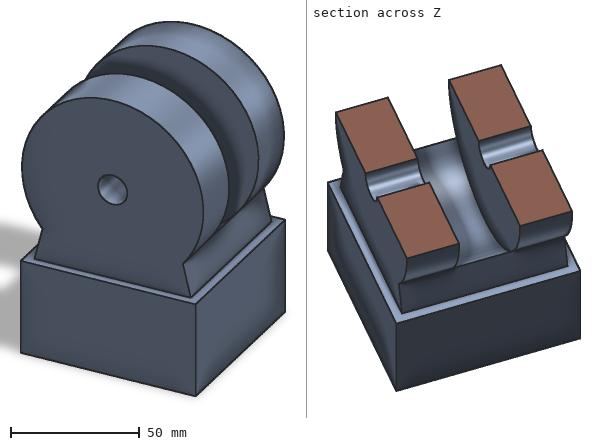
import cadquery as cq
import math

total_height = 119.6
base_side = 76.2
base_height = 40.8

lug_radius = 39.6
lug_axis_z = total_height - lug_radius
lug_outer_span = 68.5
lug_gap = 25.1
hole_diameter = 12.8

neck_bottom_width = 68.2
neck_top_width = 61.3
neck_top_z = lug_axis_z - math.sqrt(lug_radius**2 - (neck_top_width / 2) ** 2)


def cylinder_along_y(radius, length):
    """Cylinder on the lug axis, centred on Y = 0."""
    return (
        cq.Workplane("XZ", origin=(0, 0, lug_axis_z))
        .circle(radius)
        .extrude(length / 2, both=True)
    )


def make_base():
    return cq.Workplane("XY").box(base_side, base_side, base_height, centered=(True, True, False))


def make_neck():
    return (
        cq.Workplane("XZ")
        .moveTo(-neck_bottom_width / 2, base_height)
        .lineTo(neck_bottom_width / 2, base_height)
        .lineTo(neck_top_width / 2, neck_top_z)
        .lineTo(-neck_top_width / 2, neck_top_z)
        .close()
        .extrude(lug_outer_span / 2, both=True)
    )


lugs = cylinder_along_y(lug_radius, lug_outer_span)
gap = cylinder_along_y(lug_radius, lug_gap)
pin_hole = cylinder_along_y(hole_diameter / 2, lug_outer_span)

result = make_base().union(make_neck()).union(lugs).cut(gap).cut(pin_hole)